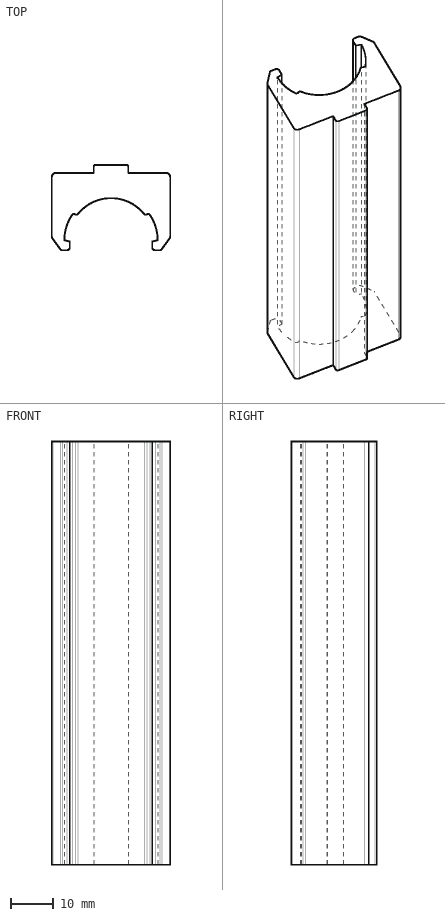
import cadquery as cq
import math

length = 100.0
width = 28.0
depth = 20.2

tongue_width = 8.2
tongue_height = 1.9
tongue_corner_radius = 0.5
back_corner_radius = 1.0

bore_center_y = 2.3
crown_radius = 10.0
side_radius = 11.0
step_angle = math.radians(36)

mouth_half_width = 9.7
lip_outer_y = 3.0
lip_outer_x = 11.8
lip_outer_radius = 1.0
lip_tip_radius = 0.5
lip_inner_radius = 0.7
lip_shoulder_outer_y = 2.4
lip_shoulder_inner_y = 2.1

half_width = width / 2
back_y = depth - tongue_height


def bore_point(radius, angle):
    """Point on the left side of the bore, with the angle measured up from horizontal."""
    return (-radius * math.cos(angle), bore_center_y + radius * math.sin(angle))


def mirrored(point):
    return (-point[0], point[1])


def prism(profile):
    return profile.close().extrude(length)


def make_body():
    body = prism(cq.Workplane("XY").polyline([
        (-half_width, back_y),
        (-half_width, lip_outer_y),
        (-lip_outer_x, 0),
        (lip_outer_x, 0),
        (half_width, lip_outer_y),
        (half_width, back_y),
    ]))
    rounded_corners = [
        (half_width, back_y, back_corner_radius),
        (half_width, lip_outer_y, lip_outer_radius),
        (lip_outer_x, 0, lip_tip_radius),
    ]
    for x, y, radius in rounded_corners:
        for side in (-1, 1):
            corner = cq.selectors.NearestToPointSelector((side * x, y, length / 2))
            body = body.edges("|Z").edges(corner).fillet(radius)
    return body


def make_tongue():
    base = cq.Workplane("XY").center(0, back_y)
    tongue = base.rect(tongue_width, 2 * tongue_height).extrude(length)
    return tongue.faces(">Y").edges("|Z").fillet(tongue_corner_radius)


def make_bore():
    round_radius = (side_radius - crown_radius) / 2
    middle_radius = (side_radius + crown_radius) / 2
    round_sweep = math.asin(round_radius / middle_radius)
    lower_angle = step_angle - round_sweep
    upper_angle = step_angle + round_sweep
    lower_center = bore_point(middle_radius, lower_angle)
    upper_center = bore_point(middle_radius, upper_angle)

    lip_round_start = (-mouth_half_width - lip_inner_radius, 0)
    lip_round_end = (-mouth_half_width, lip_inner_radius)
    lip_round_inset = lip_inner_radius * (1 - math.sqrt(0.5))
    lip_round_middle = (-mouth_half_width - lip_round_inset, lip_round_inset)

    def round_middle(center, direction):
        return (center[0] + round_radius * math.cos(direction),
                center[1] + round_radius * math.sin(direction))

    shoulder_rise = lip_shoulder_outer_y - bore_center_y
    shoulder_angle = math.asin(shoulder_rise / side_radius)
    shoulder = bore_point(side_radius, shoulder_angle)
    side_middle = bore_point(side_radius, (shoulder_angle + lower_angle) / 2)
    side_end = bore_point(side_radius, lower_angle)
    lower_middle = round_middle(lower_center, math.pi - lower_angle - math.pi / 4)
    step_middle = ((lower_center[0] + upper_center[0]) / 2,
                   (lower_center[1] + upper_center[1]) / 2)
    upper_middle = round_middle(upper_center, -upper_angle - math.pi / 4)
    crown_start = bore_point(crown_radius, upper_angle)
    crown_top = (0, bore_center_y + crown_radius)

    return prism(
        cq.Workplane("XY")
        .moveTo(*lip_round_start)
        .threePointArc(lip_round_middle, lip_round_end)
        .lineTo(-mouth_half_width, lip_shoulder_inner_y)
        .lineTo(*shoulder)
        .threePointArc(side_middle, side_end)
        .threePointArc(lower_middle, step_middle)
        .threePointArc(upper_middle, crown_start)
        .threePointArc(crown_top, mirrored(crown_start))
        .threePointArc(mirrored(upper_middle), mirrored(step_middle))
        .threePointArc(mirrored(lower_middle), mirrored(side_end))
        .threePointArc(mirrored(side_middle), mirrored(shoulder))
        .lineTo(mouth_half_width, lip_shoulder_inner_y)
        .lineTo(*mirrored(lip_round_end))
        .threePointArc(mirrored(lip_round_middle), mirrored(lip_round_start))
    )


result = make_body().union(make_tongue()).cut(make_bore())